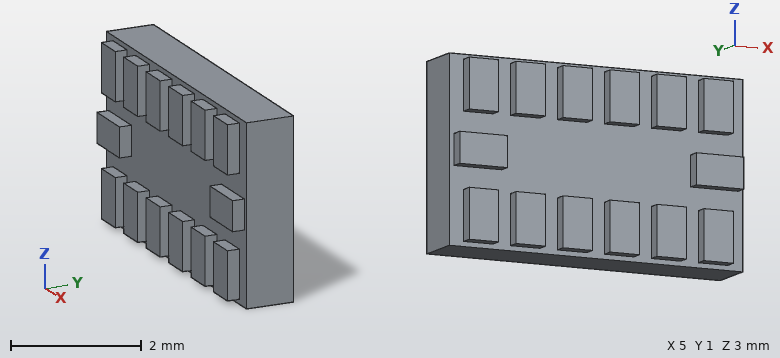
import cadquery as cq

length = 5.0
height = 3.0
total_depth = 1.0
pad_thickness = 0.2
body_depth = total_depth - pad_thickness

pad_length = 0.81
pad_width = 0.5
edge_margin = 0.08
pad_pitch = 0.8
pads_per_row = 6
row_shift = -0.01

row_z = height / 2 - edge_margin - pad_length / 2
end_pad_x = length / 2 - edge_margin - pad_length / 2
first_pad_x = row_shift - pad_pitch * (pads_per_row - 1) / 2


def block(size_x, size_z, center_x, center_z, back_y, depth):
    """Box with its back at back_y, reaching depth toward -Y."""
    center_y = back_y - depth / 2
    return cq.Workplane("XY").box(size_x, depth, size_z).translate((center_x, center_y, center_z))


def pad(size_x, size_z, center_x, center_z):
    """Pad standing out from the front face of the body."""
    return block(size_x, size_z, center_x, center_z, -body_depth, pad_thickness)


result = block(length, height, 0, 0, 0, body_depth)

for z in (-row_z, row_z):
    for index in range(pads_per_row):
        x = first_pad_x + index * pad_pitch
        result = result.union(pad(pad_width, pad_length, x, z))

for x in (-end_pad_x, end_pad_x):
    result = result.union(pad(pad_length, pad_width, x, 0))